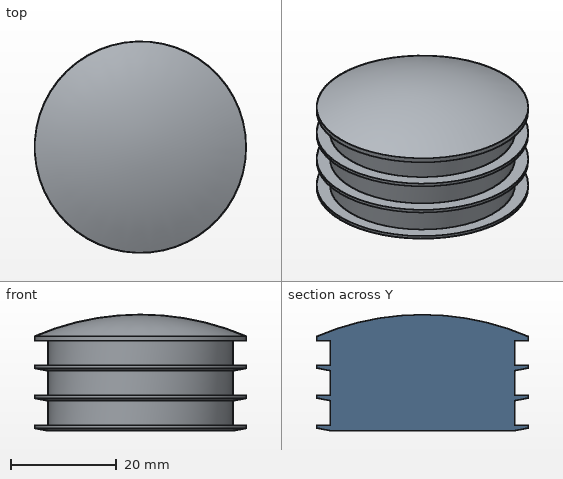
import cadquery as cq

flange_diameter = 40.0
core_diameter = 35.0
total_height = 22.0

cap_bottom = 17.0
cap_rim_thickness = 0.9

fin_count = 3
fin_taper_height = 0.5
fin_rim_thickness = 0.6

flange_radius = flange_diameter / 2
core_radius = core_diameter / 2
fin_pitch = cap_bottom / fin_count


def make_cap():
    """Flat-rimmed disc with a spherical top, revolved about Z."""
    rim_top = cap_bottom + cap_rim_thickness
    dome_height = total_height - rim_top
    sphere_radius = (flange_radius**2 + dome_height**2) / (2 * dome_height)
    mid_radius = flange_radius / 2
    mid_height = total_height - sphere_radius + (sphere_radius**2 - mid_radius**2) ** 0.5
    return (
        cq.Workplane("XZ")
        .moveTo(0, cap_bottom)
        .lineTo(flange_radius, cap_bottom)
        .lineTo(flange_radius, rim_top)
        .threePointArc((mid_radius, mid_height), (0, total_height))
        .close()
        .revolve(360, (0, 0), (0, 1))
    )


def make_fin(base_height):
    """Flat-topped disc whose underside tapers in to the core."""
    rim_bottom = base_height + fin_taper_height
    rim_top = rim_bottom + fin_rim_thickness
    return (
        cq.Workplane("XZ")
        .moveTo(0, base_height)
        .lineTo(core_radius, base_height)
        .lineTo(flange_radius, rim_bottom)
        .lineTo(flange_radius, rim_top)
        .lineTo(0, rim_top)
        .close()
        .revolve(360, (0, 0), (0, 1))
    )


result = cq.Workplane("XY").circle(core_radius).extrude(cap_bottom).union(make_cap())
for index in range(fin_count):
    result = result.union(make_fin(index * fin_pitch))